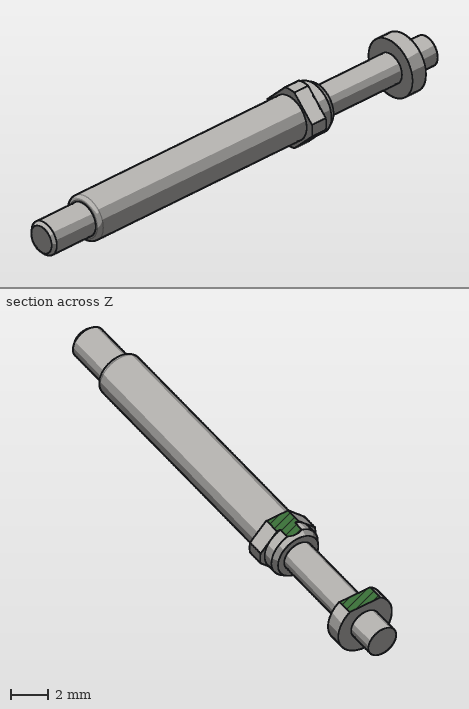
import cadquery as cq

length = 27.9

plunger_diameter = 1.8
flange_diameter = 3.5
collar_diameter = 3.0
nut_corner_diameter = 3.6
barrel_diameter = 2.68
tail_diameter = 2.0

flange_start = 1.62
flange_end = 2.6
collar_start = 7.92
nut_start = 8.9
nut_end = 9.9
barrel_end = 24.9

nut_across_flats = collar_diameter

collar_chamfer_length = 0.33
collar_chamfer_depth = 0.2
barrel_round = 0.22
tail_chamfer = 0.2


def section_plane(start):
    """Work plane across the axis, facing -Y, at a distance from the +Y end."""
    return cq.Workplane("XZ", origin=(0, length / 2 - start, 0))


def rod(diameter, start, end):
    """Round bar on the Y axis between two distances from the +Y end."""
    return section_plane(start).circle(diameter / 2).extrude(end - start)


def square_nut():
    """Square nut with corners up, down and sideways, each corner turned to a round."""
    square = section_plane(nut_start).rect(nut_across_flats, nut_across_flats).extrude(nut_end - nut_start)
    diamond = square.rotate((0, 0, 0), (0, 1, 0), 45)
    return diamond.intersect(rod(nut_corner_diameter, nut_start, nut_end))


plunger = rod(plunger_diameter, 0, collar_start)
flange = rod(flange_diameter, flange_start, flange_end)

collar = rod(collar_diameter, collar_start, nut_start)
collar = collar.faces(">Y").edges().chamfer(collar_chamfer_length, collar_chamfer_depth)

barrel = rod(barrel_diameter, nut_start, barrel_end)
barrel = barrel.faces("<Y").edges().fillet(barrel_round)

tail = rod(tail_diameter, barrel_end, length)
tail = tail.faces("<Y").edges().chamfer(tail_chamfer)

result = plunger.union(flange).union(collar).union(square_nut()).union(barrel).union(tail)